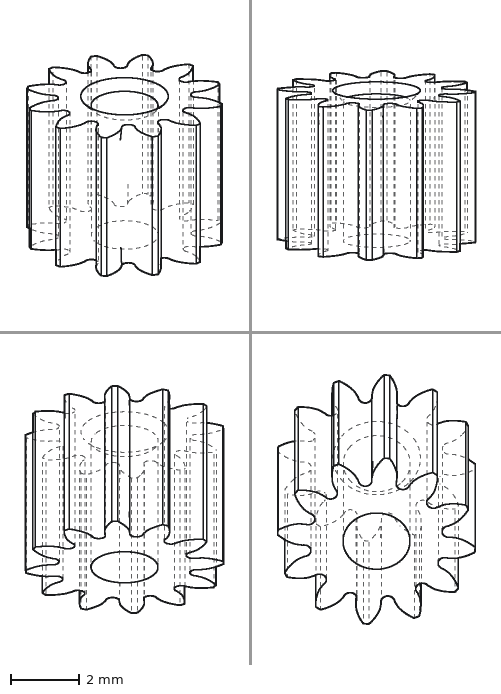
import cadquery as cq
import math

tooth_count = 12
width_across_tips = 5.68
gear_length = 4.5
pitch_radius = 2.4
pressure_angle = math.radians(20)
tip_half_angle = math.radians(1.7)
root_radius = 1.955
root_arc_radius = 0.2
bore_diameter = 1.97
chamfer_size = 0.3
flank_steps = 6

half_pitch_angle = math.pi / tooth_count
tip_radius = width_across_tips / 2 / math.cos(half_pitch_angle - tip_half_angle)
base_radius = pitch_radius * math.cos(pressure_angle)
root_arc_centre = root_radius + root_arc_radius


def involute_angle(radius):
    """Polar angle swept by the involute between the base circle and a radius."""
    roll = math.acos(base_radius / radius)
    return math.tan(roll) - roll


def turned(point, angle):
    """Rotate a point about the gear axis."""
    x, y = point
    return (
        x * math.cos(angle) - y * math.sin(angle),
        x * math.sin(angle) + y * math.cos(angle),
    )


def gap_flank():
    """Flank on the positive-angle side of a gap centred on +X, from root arc to tip."""
    base_half_angle = tip_half_angle + involute_angle(tip_radius)
    points = [(root_arc_centre, root_arc_radius)]
    for step in range(flank_steps + 1):
        radius = base_radius + (tip_radius - base_radius) * step / flank_steps
        angle = half_pitch_angle - base_half_angle + involute_angle(radius)
        points.append(turned((radius, 0), angle))
    return points


def gear_outline():
    """Closed outline: each gap is a flank, a root arc and a flank, followed by a tip arc."""
    rising = gap_flank()
    falling = [(x, -y) for x, y in reversed(rising)]
    free_tangents = [None] * (len(rising) - 1)
    outline = cq.Workplane("XY").moveTo(*falling[0])
    for gap in range(tooth_count):
        gap_angle = gap * 2 * half_pitch_angle
        inward = [turned(point, gap_angle) for point in falling[1:]]
        outward = [turned(point, gap_angle) for point in rising[1:]]
        inward_direction = turned((-1, 0), gap_angle)
        outward_direction = turned((1, 0), gap_angle)
        root_middle = turned((root_radius, 0), gap_angle)
        root_end = turned(rising[0], gap_angle)
        tip_middle = turned((tip_radius, 0), gap_angle + half_pitch_angle)
        tip_end = turned(falling[0], gap_angle + 2 * half_pitch_angle)
        outline = (
            outline.spline(inward, tangents=free_tangents + [inward_direction], includeCurrent=True)
            .threePointArc(root_middle, root_end)
            .spline(outward, tangents=[outward_direction] + free_tangents, includeCurrent=True)
            .threePointArc(tip_middle, tip_end)
        )
    return outline.close()


def chamfered_bore():
    """Cutter for the through bore with a 45 degree chamfer at its top end."""
    bore_radius = bore_diameter / 2
    return (
        cq.Workplane("XZ")
        .moveTo(0, 0)
        .lineTo(bore_radius, 0)
        .lineTo(bore_radius, gear_length - chamfer_size)
        .lineTo(bore_radius + chamfer_size, gear_length)
        .lineTo(0, gear_length)
        .close()
        .revolve(360, (0, 0, 0), (0, 1, 0))
    )


result = gear_outline().extrude(gear_length).cut(chamfered_bore())